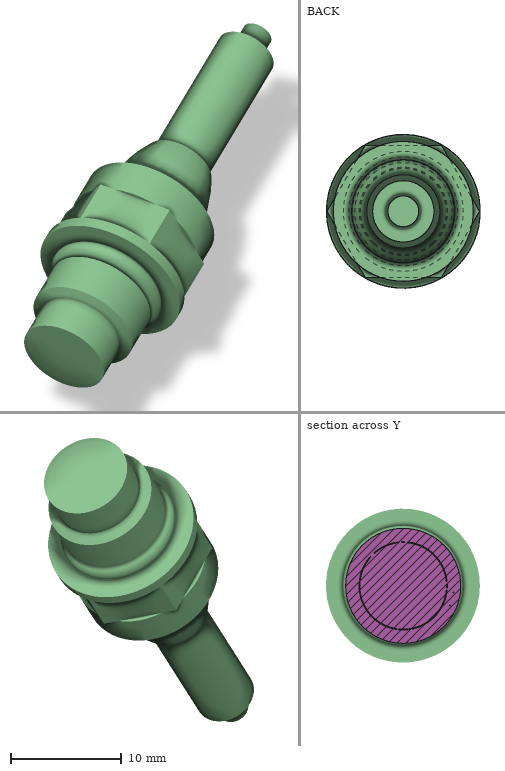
import cadquery as cq
import math

total_length = 41.25

tip_diameter = 8.0
plug_diameter = 9.9
groove_diameter = 7.8
ring_diameter = 10.9
flange_diameter = 14.0
hex_across_flats = 12.0
collar_diameter = 12.7
sleeve_base_diameter = 9.4
sleeve_end_diameter = 6.65
cable_diameter = 5.57
core_diameter = 2.8

tip_end = 3.5
plug_chamfer_end = 4.0
plug_end = 7.9
groove_cone_end = 8.5
flange_start = 9.82
flange_end = 10.85
hex_end = 15.2
collar_end = 18.57
sleeve_end = 24.45
cable_end = 38.85

ring_thickness = 1.65


def cylinder(diameter, start, end):
    """Round section about the Y axis between two axial positions."""
    return cq.Workplane("XZ", origin=(0, start, 0)).circle(diameter / 2).extrude(start - end)


def plug():
    """Front plug: narrow tip, conical shoulder, wider barrel and ring groove."""
    return (
        cq.Workplane("XY")
        .moveTo(0, 0)
        .lineTo(tip_diameter / 2, 0)
        .lineTo(tip_diameter / 2, tip_end)
        .lineTo(plug_diameter / 2, plug_chamfer_end)
        .lineTo(plug_diameter / 2, plug_end)
        .lineTo(groove_diameter / 2, groove_cone_end)
        .lineTo(groove_diameter / 2, flange_start)
        .lineTo(0, flange_start)
        .close()
        .revolve(360, (0, 0), (0, 1))
    )


def sealing_ring():
    """O-ring seated in the groove between plug and flange."""
    section_radius = ring_thickness / 2
    center_radius = ring_diameter / 2 - section_radius
    return (
        cq.Workplane("XY")
        .center(-center_radius, flange_start - section_radius)
        .circle(section_radius)
        .revolve(360, (center_radius, 0), (center_radius, 1))
    )


def hexagon():
    """Hexagonal wrench section with two corners on the X axis."""
    across_corners = hex_across_flats / math.cos(math.pi / 6)
    return (
        cq.Workplane("XZ", origin=(0, flange_end, 0))
        .polygon(6, across_corners)
        .extrude(flange_end - hex_end)
    )


def sleeve():
    """Domed strain relief whose arc leaves the collar parallel to the axis."""
    base_radius = sleeve_base_diameter / 2
    length = sleeve_end - collar_end
    drop = base_radius - sleeve_end_diameter / 2
    arc_radius = (length**2 + drop**2) / (2 * drop)
    half_angle = math.asin(length / arc_radius) / 2
    arc_middle = (
        base_radius - arc_radius * (1 - math.cos(half_angle)),
        collar_end + arc_radius * math.sin(half_angle),
    )
    return (
        cq.Workplane("XY")
        .moveTo(0, collar_end)
        .lineTo(base_radius, collar_end)
        .threePointArc(arc_middle, (sleeve_end_diameter / 2, sleeve_end))
        .lineTo(0, sleeve_end)
        .close()
        .revolve(360, (0, 0), (0, 1))
    )


sections = [
    sealing_ring(),
    cylinder(flange_diameter, flange_start, flange_end),
    hexagon(),
    cylinder(collar_diameter, hex_end, collar_end),
    sleeve(),
    cylinder(cable_diameter, sleeve_end, cable_end),
    cylinder(core_diameter, cable_end, total_length),
]

result = plug()
for section in sections:
    result = result.union(section)